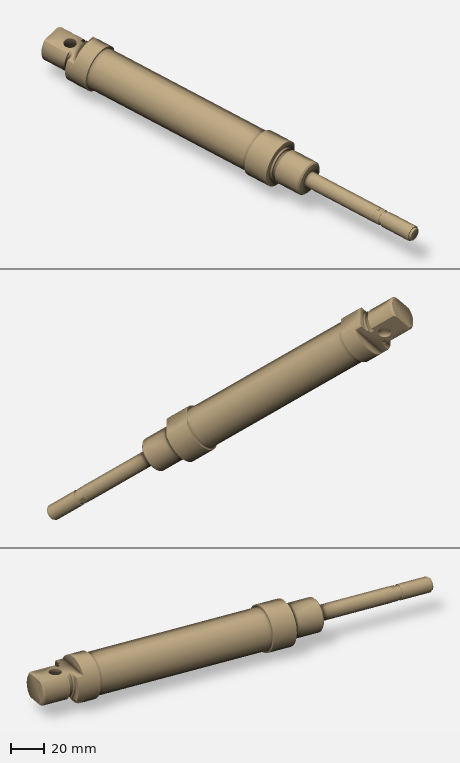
import cadquery as cq


rear_thread_end = 18.0
rear_relief_end = 20.5
rear_flange_start = 21.5
eye_flats_end = 26.2
rear_flange_end = 36.8
barrel_start = 39.9
barrel_end = 153.9
head_flange_start = 155.5
head_flange_end = 171.5
head_relief_start = 172.7
head_relief_end = 174.3
nose_end = 193.0
wrench_collar_start = 243.7
wrench_flats_start = 244.6
wrench_collar_end = 247.8
wrench_flats_end = 248.7
rod_thread_start = 249.9
rod_tip_start = 270.1
rod_end = 271.5

barrel_radius = 13.5
flange_radius = 15.0
cap_thread_radius = 11.0
cap_relief_radius = 9.5
rod_radius = 5.0
wrench_collar_radius = 4.9
rod_relief_radius = 4.5
rod_tip_radius = 4.0

cap_chamfer = 1.0
flange_flat_offset = 13.5
eye_thickness = 16.0
eye_hole_diameter = 8.0
eye_hole_x = 14.0
wrench_size = 8.8


def turned(profile):
    """Solid of revolution about X from (x, radius) corners listed rear to front."""
    first_x = profile[0][0]
    last_x = profile[-1][0]
    outline = [(first_x, 0), *profile, (last_x, 0)]
    return cq.Workplane("XZ").polyline(outline).close().revolve(360, (0, 0), (1, 0))


def block(x_start, x_end, y_start, y_end, z_start, z_end):
    size = (x_end - x_start, y_end - y_start, z_end - z_start)
    return cq.Workplane("XY").box(*size, centered=False).translate((x_start, y_start, z_start))


def cut_flange_flat(cap, x_start, x_end):
    """Mill the single flat on the +Y side of a cap flange."""
    waste = block(x_start, x_end, flange_flat_offset, flange_radius, -flange_radius, flange_radius)
    return cap.cut(waste)


def cut_parallel_flats(body, x_start, x_end, thickness, radius):
    """Mill two flats facing +Z and -Z, leaving the given thickness between them."""
    upper = block(x_start, x_end, -radius, radius, thickness / 2, radius)
    lower = upper.mirror("XY")
    return body.cut(upper).cut(lower)


def make_rear_cap():
    cap = turned([
        (0, cap_thread_radius - cap_chamfer),
        (cap_chamfer, cap_thread_radius),
        (rear_thread_end, cap_thread_radius),
        (rear_thread_end, cap_relief_radius),
        (rear_relief_end, cap_relief_radius),
        (rear_relief_end, cap_thread_radius),
        (rear_flange_start, cap_thread_radius),
        (rear_flange_start, flange_radius),
        (rear_flange_end, flange_radius),
        (rear_flange_end, barrel_radius),
        (barrel_start, barrel_radius),
    ])
    cap = cut_flange_flat(cap, rear_flange_start, rear_flange_end)
    cap = cut_parallel_flats(cap, 0, eye_flats_end, eye_thickness, flange_radius)
    eye_hole = (
        cq.Workplane("XY")
        .center(eye_hole_x, 0)
        .circle(eye_hole_diameter / 2)
        .extrude(eye_thickness / 2, both=True)
    )
    return cap.cut(eye_hole)


def make_barrel():
    return turned([(barrel_start, barrel_radius), (barrel_end, barrel_radius)])


def make_head_cap():
    cap = turned([
        (barrel_end, barrel_radius),
        (head_flange_start, barrel_radius),
        (head_flange_start, flange_radius),
        (head_flange_end, flange_radius),
        (head_flange_end, cap_thread_radius),
        (head_relief_start, cap_thread_radius),
        (head_relief_start, cap_relief_radius),
        (head_relief_end, cap_relief_radius),
        (head_relief_end, cap_thread_radius - cap_chamfer),
        (head_relief_end + cap_chamfer, cap_thread_radius),
        (nose_end - cap_chamfer, cap_thread_radius),
        (nose_end, cap_thread_radius - cap_chamfer),
    ])
    return cut_flange_flat(cap, head_flange_start, head_flange_end)


def make_piston_rod():
    rod = turned([
        (nose_end, rod_radius),
        (wrench_collar_start, rod_radius),
        (wrench_collar_start, wrench_collar_radius),
        (wrench_collar_end, wrench_collar_radius),
        (wrench_collar_end, rod_relief_radius),
        (rod_thread_start, rod_relief_radius),
        (rod_thread_start, rod_radius),
        (rod_tip_start, rod_radius),
        (rod_tip_start, rod_tip_radius),
        (rod_end, rod_tip_radius),
    ])
    return cut_parallel_flats(rod, wrench_flats_start, wrench_flats_end, wrench_size, rod_radius)


rear_cap = make_rear_cap()
barrel = make_barrel()
head_cap = make_head_cap()
piston_rod = make_piston_rod()

result = cq.Compound.makeCompound([
    rear_cap.val(),
    barrel.val(),
    head_cap.val(),
    piston_rod.val(),
])